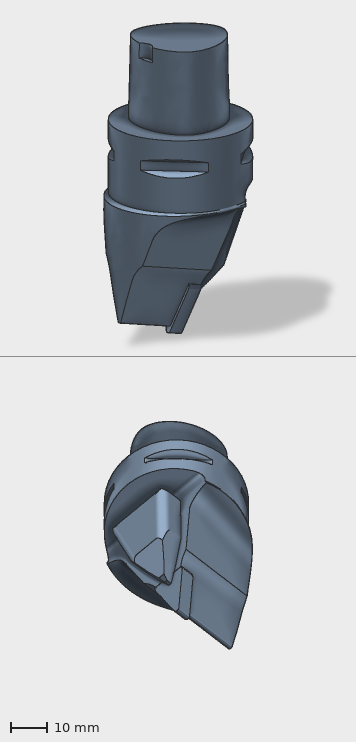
import cadquery as cq
import math


shank_height = 23.9
shank_radius_base = 14.0
shank_radius_top = 13.4
lobe_height = 0.82
lobe_points = 48
notch_radius = 3.5
notch_center_y = -14.5
notch_depth = 4.3

flange_radius = 40.0 / 2
flange_height = 21.0
groove_floor_distance = 17.6
groove_floor_width = 2.7
groove_mouth_width = 5.3
groove_center_z = -8.2

rear_wall_y = 8.0
rear_ceiling_z = -16.25
rear_corner_z = -17.3
rear_corner_radius = 3.0

body_radius_x = 20.1
body_radius_y = 21.9
ledge_height = 0.6
root_z = -21.85
root_radius = 10.0

tilt = 14.0
flank_slope = math.tan(math.radians(18.0))
tip_radius = 0.7
tip_depth = 58.4
shoulder_depth = 40.4
shoulder_half_width = 7.9
neck_depth = 45.1
neck_sag = 0.35
face_forward = -14.8
long_reach = 86.0
blank_side = 68.8

insert_thickness = 4.5
insert_top_depth = 45.2
insert_side_depth = 46.6
insert_tip_depth = 60.3
insert_half_width = 5.1
insert_tip_half_width = 0.8
insert_tip_side_depth = 59.85

clamp_height = 7.2
clamp_half_width = 10.75
clamp_waist_half_width = 7.3
clamp_top_depth = 18.4
clamp_taper_depth = 34.8
clamp_point_depth = 43.9
clamp_end_depth = 48.5
clamp_point_half_width = 3.0
clamp_end_half_width = 0.4
clamp_corner_size = 3.0
clamp_edge_radius = 3.0
clamp_nose_height = 1.7
clamp_lip_height = 3.35
clamp_lip_depth = 47.5
clamp_slope_depth = 37.6
clamp_brow_height = 3.4
clamp_brow_drop = 2.6


def tilted_plane(forward):
    """Plane across the tilted frame; local x is X and local y is minus the depth."""
    angle = math.radians(tilt)
    direction = cq.Vector(0, -math.cos(angle), math.sin(angle))
    return cq.Plane(direction * forward, (1, 0, 0), direction)


def lobed_outline(radius):
    """Points of a constant-width three-lobed curve with one lobe at +Y."""
    points = []
    for i in range(lobe_points):
        turn = 2 * math.pi * i / lobe_points
        lobe_phase = 3 * (turn - math.pi / 2)
        reach = radius + lobe_height * math.cos(lobe_phase)
        slide = -3 * lobe_height * math.sin(lobe_phase)
        x = reach * math.cos(turn) - slide * math.sin(turn)
        y = reach * math.sin(turn) + slide * math.cos(turn)
        points.append((x, y))
    return points


def make_shank():
    shank = (
        cq.Workplane("XY")
        .spline(lobed_outline(shank_radius_base), periodic=True).close()
        .workplane(offset=shank_height)
        .spline(lobed_outline(shank_radius_top), periodic=True).close()
        .loft(ruled=True)
    )
    notch = (
        cq.Workplane("XY", origin=(0, notch_center_y, shank_height - notch_depth))
        .circle(notch_radius).extrude(notch_depth)
    )
    return shank.cut(notch)


def make_rear_clearance():
    """Space behind the rear wall, below the slightly sloping ceiling."""
    outer_y = 2 * flange_radius
    ceiling_slope = (rear_ceiling_z - rear_corner_z) / (flange_radius - rear_wall_y)
    outer_z = rear_corner_z + ceiling_slope * (outer_y - rear_wall_y)
    return (
        cq.Workplane("YZ", origin=(-long_reach / 2, 0, 0))
        .moveTo(rear_wall_y, rear_corner_z)
        .lineTo(outer_y, outer_z)
        .lineTo(outer_y, -long_reach)
        .lineTo(rear_wall_y, -long_reach)
        .close().extrude(long_reach)
        .edges(cq.selectors.NearestToPointSelector((0, rear_wall_y, rear_corner_z)))
        .fillet(rear_corner_radius)
    )


def make_flange():
    flange = cq.Workplane("XY").circle(flange_radius).extrude(-flange_height)
    groove_depth = flange_radius - groove_floor_distance
    wall_slope = (groove_mouth_width - groove_floor_width) / 2 / groove_depth
    outer_half_width = groove_floor_width / 2 + wall_slope * 2 * groove_depth
    groove = (
        cq.Workplane("XZ", origin=(0, flange_radius, groove_center_z))
        .moveTo(groove_floor_distance, -groove_floor_width / 2)
        .lineTo(groove_floor_distance + 2 * groove_depth, -outer_half_width)
        .lineTo(groove_floor_distance + 2 * groove_depth, outer_half_width)
        .lineTo(groove_floor_distance, groove_floor_width / 2)
        .close().extrude(2 * flange_radius)
    )
    for angle in (45, 135, 225, 315):
        flange = flange.cut(groove.rotate((0, 0, 0), (0, 0, 1), angle))
    return flange


def make_column():
    """Elliptical column under the flange, with a sloping ledge at its top."""
    ledge = (
        cq.Workplane("XY", origin=(0, 0, -flange_height))
        .circle(flange_radius)
        .workplane(offset=-ledge_height)
        .ellipse(body_radius_x, body_radius_y)
        .loft(ruled=True)
    )
    column = (
        cq.Workplane("XY", origin=(0, 0, -flange_height - ledge_height))
        .ellipse(body_radius_x, body_radius_y).extrude(-long_reach)
    )
    return ledge.union(column)


def make_wedge():
    """Stepped wedge blended into a root plate, trimmed to the elliptical column."""
    flank_angle = math.atan(flank_slope)
    tip_x = tip_radius * math.cos(flank_angle)
    tip_y = -(tip_depth - tip_radius + tip_radius * math.sin(flank_angle))
    neck_x = tip_x + (-tip_y - neck_depth) * flank_slope
    neck_mid_x = (shoulder_half_width + neck_x) / 2 - neck_sag * math.cos(flank_angle)
    neck_mid_y = -(shoulder_depth + neck_depth) / 2 + neck_sag * math.sin(flank_angle)
    top_x = shoulder_half_width + shoulder_depth * flank_slope
    wedge = (
        cq.Workplane(tilted_plane(0))
        .moveTo(top_x, 0)
        .lineTo(shoulder_half_width, -shoulder_depth)
        .threePointArc((neck_mid_x, neck_mid_y), (neck_x, -neck_depth))
        .lineTo(tip_x, tip_y)
        .threePointArc((0, -tip_depth), (-tip_x, tip_y))
        .lineTo(-neck_x, -neck_depth)
        .threePointArc((-neck_mid_x, neck_mid_y), (-shoulder_half_width, -shoulder_depth))
        .lineTo(-top_x, 0)
        .close().extrude(long_reach, both=True)
    )
    below_root = cq.Workplane("XY", origin=(0, 0, root_z)).rect(blank_side, blank_side).extrude(-long_reach)
    plate = (
        cq.Workplane("XY", origin=(0, 0, root_z))
        .rect(blank_side, blank_side).extrude(-root_z - flange_height)
    )
    wedge = plate.union(wedge.intersect(below_root))
    root_depth = -root_z * math.cos(math.radians(tilt))
    root_edge_x = shoulder_half_width + (shoulder_depth - root_depth) * flank_slope
    for side in (-1, 1):
        root_edge = cq.selectors.NearestToPointSelector((side * root_edge_x, 0, root_z))
        wedge = wedge.edges(root_edge).fillet(root_radius)
    behind_face = (
        cq.Workplane(tilted_plane(face_forward))
        .rect(2 * long_reach, 2 * long_reach).extrude(-long_reach)
    )
    wedge = wedge.cut(behind_face)
    return wedge.intersect(make_column())


def make_insert():
    return (
        cq.Workplane(tilted_plane(face_forward))
        .moveTo(insert_half_width, -insert_top_depth)
        .lineTo(insert_half_width, -insert_side_depth)
        .lineTo(insert_tip_half_width, -insert_tip_side_depth)
        .threePointArc((0, -insert_tip_depth), (-insert_tip_half_width, -insert_tip_side_depth))
        .lineTo(-insert_half_width, -insert_side_depth)
        .lineTo(-insert_half_width, -insert_top_depth)
        .close().extrude(insert_thickness)
    )


def make_clamp():
    """Tapering nose with round outer edges, trimmed by its plan outline and side profile."""
    face_plane = tilted_plane(face_forward)
    side_slope = (clamp_half_width - clamp_waist_half_width) / (clamp_taper_depth - clamp_top_depth)
    full_end_half_width = clamp_half_width - side_slope * (clamp_end_depth - clamp_top_depth)
    bar = (
        cq.Workplane(face_plane)
        .moveTo(-clamp_half_width, -clamp_top_depth)
        .lineTo(clamp_half_width, -clamp_top_depth)
        .lineTo(full_end_half_width, -clamp_end_depth)
        .lineTo(-full_end_half_width, -clamp_end_depth)
        .close().extrude(-clamp_height)
    )
    middle_half_width = (clamp_half_width + full_end_half_width) / 2
    middle_depth = (clamp_top_depth + clamp_end_depth) / 2
    for side in (-1, 1):
        edge_point = face_plane.toWorldCoords((side * middle_half_width, -middle_depth, -clamp_height))
        outer_edge = cq.selectors.NearestToPointSelector(edge_point.toTuple())
        bar = bar.edges(outer_edge).fillet(clamp_edge_radius)
    plan = (
        cq.Workplane(face_plane)
        .moveTo(-clamp_half_width + clamp_corner_size, -clamp_top_depth)
        .lineTo(clamp_half_width - clamp_corner_size, -clamp_top_depth)
        .lineTo(clamp_half_width, -clamp_top_depth - clamp_corner_size)
        .lineTo(clamp_waist_half_width, -clamp_taper_depth)
        .lineTo(clamp_point_half_width, -clamp_point_depth)
        .lineTo(clamp_end_half_width, -clamp_end_depth)
        .lineTo(-clamp_end_half_width, -clamp_end_depth)
        .lineTo(-clamp_point_half_width, -clamp_point_depth)
        .lineTo(-clamp_waist_half_width, -clamp_taper_depth)
        .lineTo(-clamp_half_width, -clamp_top_depth - clamp_corner_size)
        .close().extrude(-clamp_height)
    )
    side_plane = cq.Plane(face_plane.origin, face_plane.zDir, (-1, 0, 0))
    profile = (
        cq.Workplane(side_plane)
        .moveTo(0, -clamp_top_depth)
        .lineTo(clamp_brow_height - clamp_height, -clamp_top_depth)
        .tangentArcPoint((-clamp_height, -clamp_top_depth - clamp_brow_drop), relative=False)
        .lineTo(-clamp_height, -clamp_slope_depth)
        .lineTo(-clamp_lip_height, -clamp_lip_depth)
        .lineTo(-clamp_nose_height, -clamp_end_depth)
        .lineTo(0, -clamp_end_depth)
        .close().extrude(clamp_half_width, both=True)
    )
    return bar.intersect(plan).intersect(profile)


rear_clearance = make_rear_clearance()
insert = make_insert()
holder = (
    make_flange()
    .union(make_wedge())
    .cut(rear_clearance)
    .union(make_shank())
    .union(make_clamp())
    .cut(insert)
)
result = cq.Compound.makeCompound([holder.val(), insert.val()])